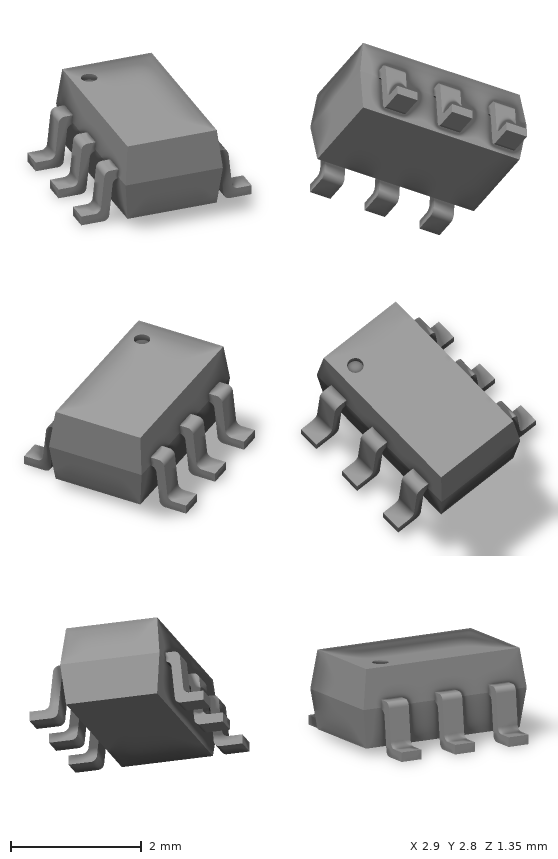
import cadquery as cq
import math

body_length = 2.9
body_width = 1.6
lead_span = 2.8
total_height = 1.35

standoff = 0.1
parting_height = 0.73
end_inset = 0.087
side_inset = 0.067

leads_per_side = 3
lead_pitch = 0.95
lead_width = 0.35
lead_thickness = 0.15
lead_top = 0.853
leg_reach_at_top = 1.012
leg_angle = 6.0
bend_radius = 0.1
lead_embedment = 0.145

mark_diameter = 0.252
mark_depth = 0.1
mark_x = -0.945
mark_y = -0.455


def make_body_half(face_height):
    """Loft from the parting line to the smaller flat face at face_height."""
    return (
        cq.Workplane("XY", origin=(0, 0, parting_height))
        .rect(body_length, body_width)
        .workplane(offset=face_height - parting_height)
        .rect(body_length - 2 * end_inset, body_width - 2 * side_inset)
        .loft(ruled=True)
    )


def make_lead():
    """Lead on the +Y side, centred on X = 0, with its foot on Z = 0."""
    slope = math.tan(math.radians(leg_angle))
    leg_thickness_along_y = lead_thickness / math.cos(math.radians(leg_angle))

    def leg_outer(z):
        return leg_reach_at_top + (lead_top - z) * slope

    def leg_inner(z):
        return leg_outer(z) - leg_thickness_along_y

    root = body_width / 2 - lead_embedment
    toe = lead_span / 2
    shoulder_bottom = lead_top - lead_thickness
    profile = [
        (root, lead_top),
        (leg_outer(lead_top), lead_top),
        (leg_outer(lead_thickness), lead_thickness),
        (toe, lead_thickness),
        (toe, 0),
        (leg_inner(0), 0),
        (leg_inner(shoulder_bottom), shoulder_bottom),
        (root, shoulder_bottom),
    ]
    blank = cq.Workplane("YZ").polyline(profile).close().extrude(lead_width / 2, both=True)

    bend_zone = cq.selectors.BoxSelector(
        (-lead_width, leg_inner(lead_top) - lead_thickness / 2, -lead_thickness),
        (lead_width, leg_outer(0) + lead_thickness / 2, lead_top + lead_thickness),
    )
    return blank.edges("|X").edges(bend_zone).fillet(bend_radius)


def make_mark_pocket():
    return (
        cq.Workplane("XY", origin=(mark_x, mark_y, total_height - mark_depth))
        .circle(mark_diameter / 2)
        .extrude(mark_depth)
    )


result = make_body_half(total_height).union(make_body_half(standoff))
result = result.cut(make_mark_pocket())

back_lead = make_lead()
front_lead = back_lead.mirror("XZ")
for index in range(leads_per_side):
    lead_x = (index - (leads_per_side - 1) / 2) * lead_pitch
    for lead in (back_lead, front_lead):
        result = result.union(lead.translate((lead_x, 0, 0)))